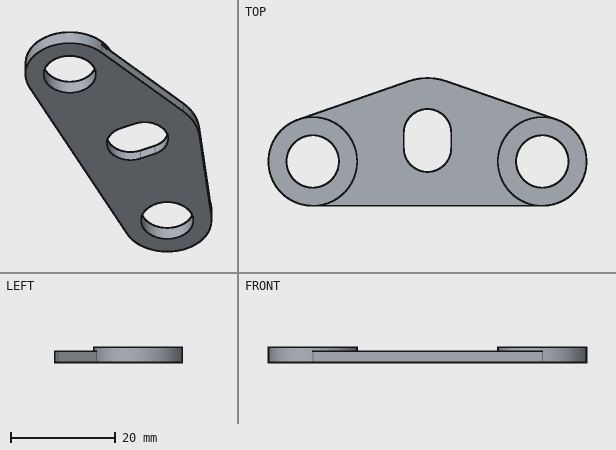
import cadquery as cq
import math

length = 61.0
depth = 24.5
boss_height = 3.0
plate_thickness = 2.2

boss_diameter = 17.0
bore_diameter = 10.0
boss_radius = boss_diameter / 2
boss_x = length / 2 - boss_radius

apex_radius = 11.0
apex_top = depth - boss_radius
apex_center_y = apex_top - apex_radius

slot_width = 9.0
slot_length = 12.0
slot_center_y = 4.0


def make_plate():
    """Plate whose sloping sides are tangent to the end circles and the apex arc."""
    center_distance = math.hypot(boss_x, apex_center_y)
    slope = math.atan2(apex_center_y, boss_x) + math.asin((apex_radius - boss_radius) / center_distance)
    normal_x = math.sin(slope)
    normal_y = math.cos(slope)
    boss_tangent = (boss_x + boss_radius * normal_x, boss_radius * normal_y)
    apex_tangent = (apex_radius * normal_x, apex_center_y + apex_radius * normal_y)
    return (
        cq.Workplane("XY")
        .moveTo(-boss_x, -boss_radius)
        .lineTo(boss_x, -boss_radius)
        .threePointArc((length / 2, 0), boss_tangent)
        .lineTo(*apex_tangent)
        .threePointArc((0, apex_top), (-apex_tangent[0], apex_tangent[1]))
        .lineTo(-boss_tangent[0], boss_tangent[1])
        .threePointArc((-length / 2, 0), (-boss_x, -boss_radius))
        .close()
        .extrude(plate_thickness)
    )


def make_end_cylinders(diameter):
    """Pair of upright cylinders at the two end centres."""
    return (
        cq.Workplane("XY")
        .pushPoints([(-boss_x, 0), (boss_x, 0)])
        .circle(diameter / 2)
        .extrude(boss_height)
    )


def make_slot():
    """Round-ended cutter for the central slot."""
    return (
        cq.Workplane("XY")
        .center(0, slot_center_y)
        .slot2D(slot_length, slot_width, 90)
        .extrude(plate_thickness)
    )


body = make_plate().union(make_end_cylinders(boss_diameter))
result = body.cut(make_end_cylinders(bore_diameter)).cut(make_slot())